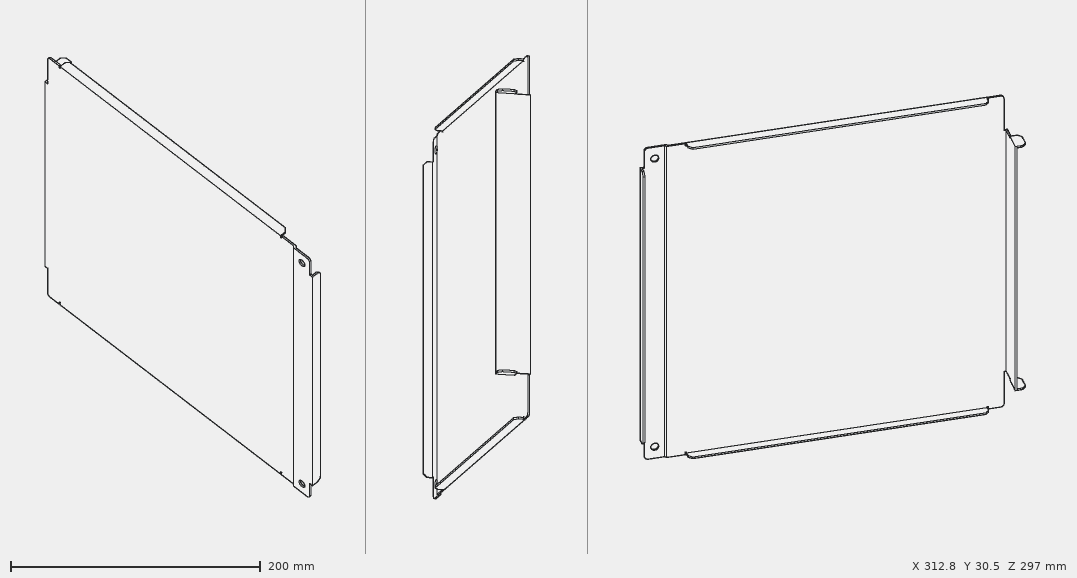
import cadquery as cq

length = 312.8
depth = 30.5
height = 297.0
sheet = 1.5
corner = 3.0

panel_left = 11.0
panel_right = 309.7
panel_front = 1.5
joggle_start = 290.0
joggle_width = 1.3
hole_diameter = 6.5
hole_x = 301.0
hole_edge = 11.0

wall_left = 7.8
wall_edge = 33.5
tab_depth = 16.0
tab_corner = 3.0

lip_edge = 18.5
lip_depth = 9.5
lip_corner = 3.0

flange_left = 25.0
flange_right = 275.0
flange_back = 10.3
flange_corner = 3.0
relief_width = 1.0
relief_depth = 2.2

half_height = height / 2
end_signs = (-1, 1)


def box(x0, x1, y0, y1, z0, z1):
    """Box between two opposite corners."""
    return cq.Workplane("XY").box(x1 - x0, y1 - y0, z1 - z0, centered=False).translate((x0, y0, z0))


def make_panel():
    joggle_end = joggle_start + joggle_width
    profile = [
        (panel_left, panel_front),
        (joggle_start, panel_front),
        (joggle_end, 0),
        (panel_right, 0),
        (panel_right, sheet),
        (joggle_end + sheet, sheet),
        (joggle_start + sheet, panel_front + sheet),
        (panel_left, panel_front + sheet),
    ]
    panel = cq.Workplane("XY").polyline(profile).close().extrude(height)
    panel = panel.translate((0, 0, -half_height))
    panel = panel.edges("|Y").edges("<X or >X").fillet(corner)
    for sign in end_signs:
        hole = cq.Workplane("XZ").center(hole_x, sign * (half_height - hole_edge))
        panel = panel.cut(hole.circle(hole_diameter / 2).extrude(depth, both=True))
    return panel


def make_left_wall():
    half_wall = half_height - wall_edge
    wall_right = wall_left + sheet
    wall = box(wall_left, wall_right, panel_front, depth, -half_wall, half_wall)
    foot = box(wall_left, panel_left, panel_front, panel_front + sheet, -half_wall, half_wall)
    wall = wall.union(foot)
    tab = box(0, wall_right, depth - tab_depth, depth, half_wall, half_wall + sheet)
    tab = tab.edges("|Z and <X").chamfer(tab_corner)
    return wall.union(tab).union(tab.mirror("XY"))


def make_right_lip():
    half_lip = half_height - lip_edge
    lip = box(length - sheet, length, 0, lip_depth, -half_lip, half_lip)
    lip = lip.edges("|X and >Y").chamfer(lip_corner)
    foot = box(panel_right, length, 0, sheet, -half_lip, half_lip)
    return lip.union(foot)


def make_flange():
    """Flange along the top edge."""
    flange = box(flange_left, flange_right, panel_front, flange_back, half_height - sheet, half_height)
    return flange.edges("|Z and >Y").chamfer(flange_corner)


def make_reliefs():
    """Bend reliefs at both ends of the top flange."""
    z0 = half_height - relief_depth
    left = box(flange_left - relief_width, flange_left, 0, depth, z0, half_height)
    right = box(flange_right, flange_right + relief_width, 0, depth, z0, half_height)
    return left.union(right)


flange = make_flange()
reliefs = make_reliefs()
result = make_panel().cut(reliefs).cut(reliefs.mirror("XY"))
result = result.union(flange).union(flange.mirror("XY"))
result = result.union(make_left_wall()).union(make_right_lip())